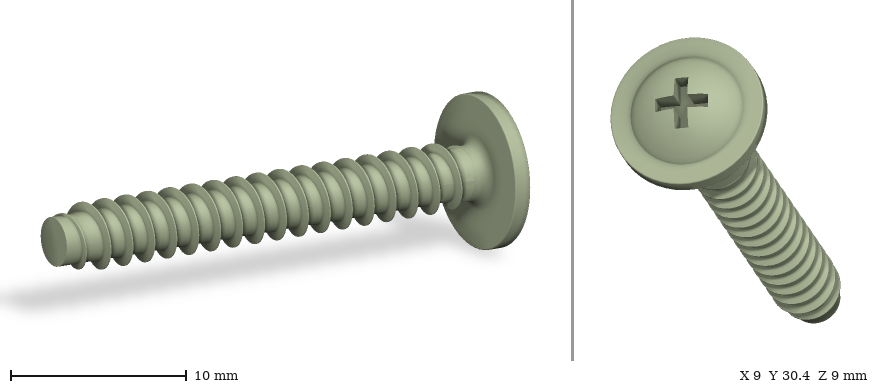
import cadquery as cq
import math


flange_radius = 4.5
flange_thickness = 1.0
flange_edge_radius = 0.08
head_height = 2.456
dome_base_radius = 3.3

recess_span = 3.1
recess_wing_width = 0.8
recess_depth = 1.6

shank_length = 28.0
core_radius = 1.43
neck_radius = 1.6
neck_fillet = 0.56
neck_length = 1.0
neck_cone_end = 1.5

thread_pitch = 1.46
crest_radius = 2.0
crest_flat = 0.08
thread_top = -2.08
full_turns = 16.3
runout_turns = 1.5
runout_slope = 0.31

upper_knee_radius = 1.6
upper_knee_offset = 0.2
upper_foot_offset = 0.43
lower_root_radius = 1.5
lower_root_offset = 0.2
root_taper_end = 0.95
foot_overlap = 0.02
foot_radius = core_radius - foot_overlap
buried_radius = 1.2

thread_section = [
    (buried_radius, -root_taper_end),
    (foot_radius, -root_taper_end),
    (lower_root_radius, -lower_root_offset),
    (crest_radius, -crest_flat / 2),
    (crest_radius, crest_flat / 2),
    (upper_knee_radius, upper_knee_offset),
    (foot_radius, upper_foot_offset),
    (buried_radius, upper_foot_offset),
]


def make_body():
    """Head, neck and core as one turned body."""
    dome_height = head_height - flange_thickness
    sphere_radius = (dome_base_radius**2 + dome_height**2) / (2 * dome_height)
    mid_radius = sphere_radius * math.sin(math.asin(dome_base_radius / sphere_radius) / 2)
    mid_height = head_height - sphere_radius + math.sqrt(sphere_radius**2 - mid_radius**2)
    fillet_middle = neck_fillet * (1 - math.sqrt(0.5))
    edge_middle = flange_edge_radius * (1 - math.sqrt(0.5))
    flat_radius = flange_radius - flange_edge_radius
    return (
        cq.Workplane("XZ")
        .moveTo(0, -shank_length)
        .lineTo(core_radius, -shank_length)
        .lineTo(core_radius, -neck_cone_end)
        .lineTo(neck_radius, -neck_length)
        .lineTo(neck_radius, -neck_fillet)
        .threePointArc((neck_radius + fillet_middle, -fillet_middle), (neck_radius + neck_fillet, 0))
        .lineTo(flat_radius, 0)
        .threePointArc((flange_radius - edge_middle, edge_middle), (flange_radius, flange_edge_radius))
        .lineTo(flange_radius, flange_thickness - flange_edge_radius)
        .threePointArc(
            (flange_radius - edge_middle, flange_thickness - edge_middle),
            (flat_radius, flange_thickness),
        )
        .lineTo(dome_base_radius, flange_thickness)
        .threePointArc((mid_radius, mid_height), (0, head_height))
        .close()
        .revolve(360, (0, 0, 0), (0, 1, 0))
    )


def make_recess():
    """Cross recess sunk from the top of the dome."""
    floor = cq.Workplane("XY").workplane(offset=head_height - recess_depth)
    wing_x = floor.rect(recess_span, recess_wing_width).extrude(recess_depth)
    wing_y = floor.rect(recess_wing_width, recess_span).extrude(recess_depth)
    return wing_x.union(wing_y)


def helix_solid(section, turns, cone_slope=0):
    """Solid swept by an axial section that climbs a right-handed helix and moves outward at a slope."""
    cone_angle = math.atan(cone_slope)
    slant_pitch = thread_pitch / math.cos(cone_angle)
    cone_option = {"angle": math.degrees(cone_angle)} if cone_slope else {}
    rise = turns * thread_pitch
    growth = rise * cone_slope
    turn_angle = math.radians(360 * turns)

    start_points = [cq.Vector(radius, 0, offset) for radius, offset in section]
    end_points = [
        cq.Vector(
            (radius + growth) * math.cos(turn_angle),
            (radius + growth) * math.sin(turn_angle),
            offset + rise,
        )
        for radius, offset in section
    ]
    helices = [
        cq.Wire.makeHelix(slant_pitch, turns * slant_pitch, radius, (0, 0, offset), **cone_option)
        for radius, offset in section
    ]
    faces = [cq.Face.makeRuledSurface(helices[i - 1], helices[i]) for i in range(len(helices))]
    for points in (start_points, end_points):
        faces.append(cq.Face.makeFromWires(cq.Wire.makePolygon(points, close=True)))
    return cq.Solid.makeSolid(cq.Shell.makeShell(faces))


def make_runout(section):
    """Thread end that grows out of the core; it starts on the +X side at z = 0."""
    sink = runout_turns * thread_pitch * runout_slope
    sunk_section = [(radius - sink, offset) for radius, offset in section]
    return helix_solid(sunk_section, runout_turns, runout_slope)


def make_thread_parts():
    """Full-height thread and its two fading ends."""
    full_bottom = thread_top - full_turns * thread_pitch
    runout_rise = runout_turns * thread_pitch
    full_start_angle = -360 * full_turns
    axis_start = (0, 0, 0)
    axis_end = (0, 0, 1)

    full = helix_solid(thread_section, full_turns)
    full = full.rotate(axis_start, axis_end, full_start_angle).translate((0, 0, full_bottom))

    tip_end = make_runout(thread_section)
    tip_end = tip_end.rotate(axis_start, axis_end, full_start_angle - 360 * runout_turns)
    tip_end = tip_end.translate((0, 0, full_bottom - runout_rise))

    flipped_section = [(radius, -offset) for radius, offset in thread_section]
    head_end = make_runout(flipped_section)
    head_end = head_end.rotate(axis_start, (1, 0, 0), 180)
    head_end = head_end.rotate(axis_start, axis_end, 360 * runout_turns)
    head_end = head_end.translate((0, 0, thread_top + runout_rise))
    return [tip_end, full, head_end]


def make_tip_trim():
    """Block that removes everything beyond the flat tip."""
    side = 4 * crest_radius
    return cq.Workplane("XY").workplane(offset=-shank_length).rect(side, side).extrude(-side)


screw = make_body().cut(make_recess())
for part in make_thread_parts():
    screw = screw.union(cq.Workplane(part))
screw = screw.cut(make_tip_trim())

result = screw.rotate((0, 0, 0), (1, 0, 0), -90)